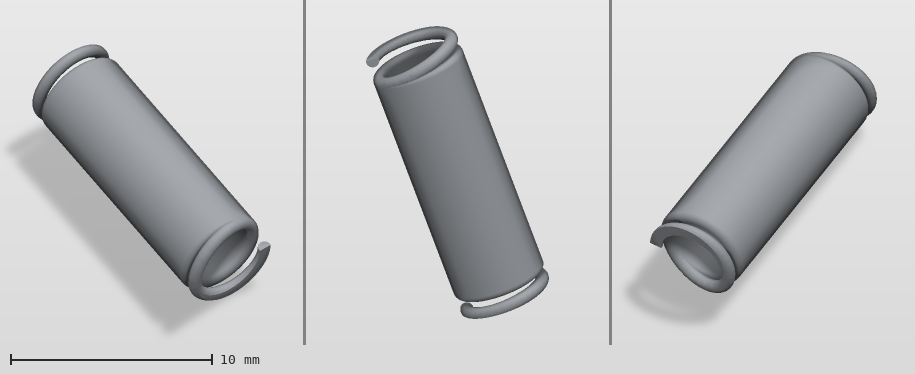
import cadquery as cq
import math

length = 14.0
outer_diameter = 4.72
wire_diameter = 0.66
body_length = 12.38

wire_radius = wire_diameter / 2
coil_radius = outer_diameter / 2 - wire_radius

tip_offset = 0.08
bend_offset = wire_radius
rim_inset = (length - body_length) / 2
root_offset = rim_inset + wire_radius


def make_body():
    """Tube along X whose wall is as thick as the wire, with full-round rims."""
    return (
        cq.Workplane("XY")
        .center(length / 2, coil_radius)
        .slot2D(body_length, wire_diameter)
        .revolve(360, (0, -coil_radius, 0), (1, -coil_radius, 0))
    )


def make_half_turn(start, end, side):
    """Half turn of wire in a tilted plane, crossing Y from +side to -side over Z of that sign."""
    middle_x = (start + end) / 2
    tilt_direction = (start - middle_x, side * coil_radius, 0)
    half_span = math.hypot(start - middle_x, coil_radius)
    tilted_plane = cq.Plane(
        origin=(middle_x, 0, 0),
        xDir=tilt_direction,
        normal=(coil_radius, -side * (start - middle_x), 0),
    )
    path = cq.Workplane(tilted_plane).ellipseArc(
        half_span, coil_radius, 0, 180, startAtCurrent=False
    )
    section = cq.Workplane("XY").center(start, side * coil_radius).circle(wire_radius)
    return section.sweep(path, isFrenet=True)


def make_end_coil():
    """One turn at the X = 0 end: a shallow half, a steep half, and the flat ground face."""
    shallow_half = make_half_turn(tip_offset, bend_offset, 1)
    steep_half = make_half_turn(bend_offset, root_offset, -1)
    grinding_block = cq.Workplane("XY").box(
        wire_diameter, 2 * outer_diameter, 2 * outer_diameter
    ).translate((-wire_radius, 0, 0))
    return shallow_half.cut(grinding_block).union(steep_half)


end_coil = make_end_coil()
middle = (length / 2, 0, 0)
opposite_coil = end_coil.rotate(middle, (length / 2, 1, 0), 180)

result = make_body().union(end_coil).union(opposite_coil)